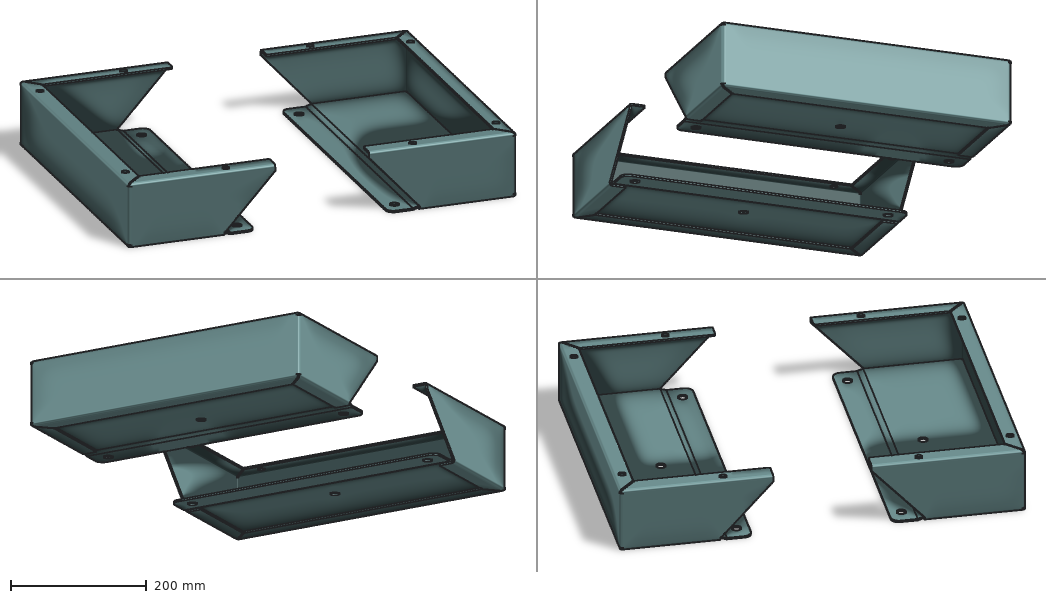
import cadquery as cq


total_length = 609.5
width = 457.0
height = 102.0

sheet = 3.0
bend_radius = 5.0
inner_radius = bend_radius - sheet

frame_depth = 231.0
flange_width = 25.5
miter_gap = 3.0
foot_depth = 151.0
foot_height = bend_radius
nose_height = 10.0
tip_radius = 3.5

flange_hole_diameter = 11.0
flange_hole_inset = 13.5
back_hole_spacing = 358.5
side_hole_depth = 158.0

plate_width = width - 2 * sheet
plate_depth = 200.0
joggle_start = 152.5
joggle_end = 161.5
lip_corner_radius = 12.0
plate_hole_diameter = 14.0
center_hole_depth = 108.0
lip_hole_depth = 181.0
lip_hole_spacing = 400.0


def c_section(length):
    """C-section along X: the wall on y = 0, with the bottom and top flanges towards +Y."""
    solid = cq.Workplane("XY").box(length, flange_width, height, centered=(True, False, False))
    solid = solid.edges("|X and <Y").fillet(bend_radius)
    cavity = (
        cq.Workplane("XY")
        .box(length, flange_width, height - 2 * sheet, centered=(True, False, False))
        .edges("|X and <Y")
        .fillet(inner_radius)
        .translate((0, sheet, sheet))
    )
    return solid.cut(cavity)


def plan_prism(points):
    """Full-height prism over a plan outline."""
    return cq.Workplane("XY").polyline(points).close().extrude(height)


def back_panel():
    """Back wall with its flanges, mitered at both ends."""
    half = width / 2 - miter_gap / 2
    inner_half = half - flange_width
    outline = [(-half, 0), (half, 0), (inner_half, flange_width), (-inner_half, flange_width)]
    return c_section(width).intersect(plan_prism(outline))


def side_panel():
    """Wall on the -X side with its flanges, mitered at the back and slanted at the open end."""
    x_outer = -width / 2
    x_inner = x_outer + flange_width
    start = miter_gap / 2
    outline = [
        (x_outer, start),
        (x_inner, start + flange_width),
        (x_inner, frame_depth),
        (x_outer, frame_depth),
    ]
    panel = (
        c_section(2 * frame_depth)
        .rotate((0, 0, 0), (0, 0, 1), -90)
        .translate((x_outer, 0, 0))
        .intersect(plan_prism(outline))
    )
    side_outline = (
        cq.Workplane("YZ", origin=(x_outer, 0, 0))
        .moveTo(0, 0)
        .lineTo(foot_depth, 0)
        .lineTo(foot_depth, foot_height)
        .lineTo(frame_depth, height - nose_height)
        .lineTo(frame_depth, height)
        .lineTo(0, height)
        .close()
        .extrude(flange_width)
    )
    tip = cq.selectors.NearestToPointSelector((x_inner, frame_depth, height - sheet / 2))
    return panel.intersect(side_outline).edges("|Z").edges(tip).fillet(tip_radius)


def corner_bend():
    """Upright bend joining the back wall to the -X side wall, between the flange bends."""
    center = (bend_radius - width / 2, bend_radius)
    bend_height = height - 2 * bend_radius
    ring = cq.Workplane("XY").circle(bend_radius).circle(inner_radius).extrude(bend_height)
    quarter = cq.Workplane("XY").rect(-bend_radius, -bend_radius, centered=False).extrude(bend_height)
    return ring.intersect(quarter).translate((*center, bend_radius))


def corner_clearance():
    """Square corner of the walls that the upright bend replaces."""
    return (
        cq.Workplane("XY")
        .box(bend_radius, bend_radius, height - 2 * bend_radius, centered=False)
        .translate((-width / 2, 0, bend_radius))
    )


def mirrored_pair(shape):
    """The -X shape together with its mirror image on the +X side."""
    return shape.union(shape.mirror("YZ"))


def flange_holes():
    """Drills through the top flanges: two at the back and one at each side."""
    side_hole_x = width / 2 - flange_hole_inset
    points = []
    for side in (-1, 1):
        points.append((side * back_hole_spacing / 2, flange_hole_inset))
        points.append((side * side_hole_x, side_hole_depth))
    return (
        cq.Workplane("XY", origin=(0, 0, height))
        .pushPoints(points)
        .circle(flange_hole_diameter / 2)
        .extrude(-2 * sheet)
    )


def wall_frame():
    """Back wall and two side walls bent from one sheet, with flanges along top and bottom."""
    walls = back_panel().union(mirrored_pair(side_panel()))
    walls = walls.cut(mirrored_pair(corner_clearance()))
    return walls.union(mirrored_pair(corner_bend())).cut(flange_holes())


def floor_panel():
    """Level part of the floor plate, rounded to nest in the inside of the frame bends."""
    panel = (
        cq.Workplane("XY")
        .box(plate_width, joggle_start - sheet, sheet, centered=(True, False, False))
        .translate((0, sheet, sheet))
    )
    panel = panel.edges("|Z and <Y").fillet(inner_radius)
    return panel.faces("<Z").edges("not >Y").fillet(inner_radius)


def stepped_lip():
    """Joggle from the floor level down to the lip, whose free corners are rounded."""
    lip = (
        cq.Workplane("YZ", origin=(-plate_width / 2, 0, 0))
        .moveTo(joggle_start, sheet)
        .lineTo(joggle_end, 0)
        .lineTo(plate_depth, 0)
        .lineTo(plate_depth, sheet)
        .lineTo(joggle_end, sheet)
        .lineTo(joggle_start, 2 * sheet)
        .close()
        .extrude(plate_width)
    )
    return lip.edges("|Z and >Y").fillet(lip_corner_radius)


def floor_plate():
    """Plate on the bottom flanges that steps down by one sheet to a lip at the open side."""
    hole_points = [
        (0, center_hole_depth),
        (-lip_hole_spacing / 2, lip_hole_depth),
        (lip_hole_spacing / 2, lip_hole_depth),
    ]
    holes = cq.Workplane("XY").pushPoints(hole_points).circle(plate_hole_diameter / 2).extrude(2 * sheet)
    return floor_panel().union(stepped_lip()).cut(holes)


def placed(body, angle):
    """Solid of a body moved to the end of the assembly and turned about the Z axis."""
    return body.translate((0, -total_length / 2, 0)).rotate((0, 0, 0), (0, 0, 1), angle).val()


frame = wall_frame()
plate = floor_plate()
bodies = []
for angle in (0, 180):
    bodies.append(placed(frame, angle))
    bodies.append(placed(plate, angle))

result = cq.Compound.makeCompound(bodies)